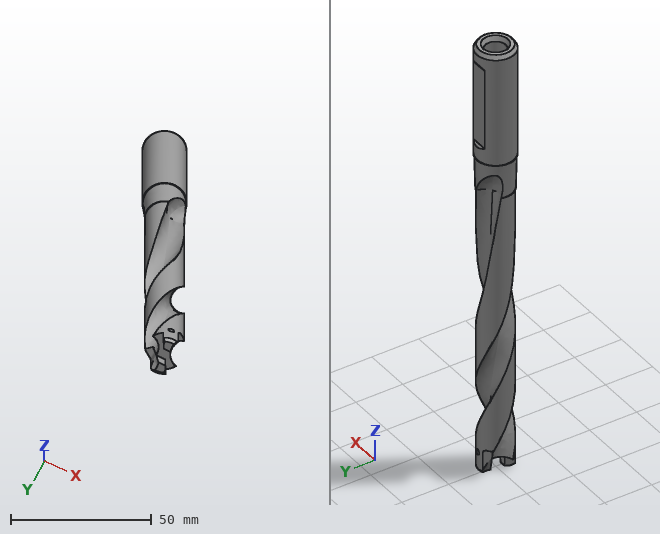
import cadquery as cq
import math

TOTAL_LENGTH = 184.6
EXTRA = 1.8

SHANK_RADIUS = 8.0
SHANK_BOTTOM = 136.8
SHANK_CHAMFER_RADIAL = 1.1
SHANK_CHAMFER_AXIAL = 1.7

FLAT_OFFSET = 7.0
FLAT_BOTTOM = 143.6
FLAT_TOP = 177.8

NECK_TOP_RADIUS = 15.3 / 2
NECK_BOTTOM_RADIUS = 14.5 / 2
STEM_TOP = 122.0
STEM_RADIUS = 14.2 / 2

SOCKET_RADIUS = 4.2
SOCKET_DEPTH = 22.2
SOCKET_CONE_ANGLE = 118.0
COUNTERSINK_RADIUS = 10.5 / 2
COUNTERSINK_DEPTH = 2.0
COOLANT_RADIUS = 0.83
COOLANT_OUTLET_Z = 13.5

FLUTE_RADIUS = 5.7
WEB_RADIUS = 2.2
FLUTE_START_Z = -3.7
FULL_TWIST_TOP = 59.0
EASED_TWIST_TOP = 88.6
FULL_TWIST_RATE = 3.738
SLOW_TWIST_RATE = 1.246
FULL_TWIST_TOP_ANGLE = -176.5
RUNOUT_TOP = 132.5
RUNOUT_TWIST_RATE = 2.438
RUNOUT_POWER = 1.5
STEM_SECTION_COUNT = 26
RUNOUT_SECTION_COUNT = 3

SEAT_HALF_WIDTH = 2.8
SEAT_DEPTH = 5.4
PRONG_HALF_WIDTH = 3.7
PRONG_INNER_HALF_WIDTH = 1.7
PRONG_CORNER = 1.1
PRONG_EDGE = 1.1
GULLET_OFFSET = 2.0
GULLET_TOP = 11.3
GULLET_CORNER = 1.8

PIN_RADIUS = 1.1
PIN_X = -1.0
PIN_Z = 8.5
PIN_INNER_END = 2.8

HALF_TURNS = (0, 180)


def box_between(x0, x1, y0, y1, z0, z1):
    return cq.Workplane("XY").box(x1 - x0, y1 - y0, z1 - z0, centered=False).translate((x0, y0, z0))


def half_turn_copy(shape, angle):
    return shape.rotate((0, 0, 0), (0, 0, 1), angle)


def turned_blank():
    outline = [
        (0, 0),
        (STEM_RADIUS - PRONG_EDGE, 0),
        (STEM_RADIUS, PRONG_EDGE),
        (STEM_RADIUS, STEM_TOP),
        (NECK_BOTTOM_RADIUS, STEM_TOP),
        (NECK_TOP_RADIUS, SHANK_BOTTOM),
        (SHANK_RADIUS, SHANK_BOTTOM),
        (SHANK_RADIUS, TOTAL_LENGTH - SHANK_CHAMFER_AXIAL),
        (SHANK_RADIUS - SHANK_CHAMFER_RADIAL, TOTAL_LENGTH),
        (0, TOTAL_LENGTH),
    ]
    return cq.Workplane("XZ").polyline(outline).close().revolve(360, (0, 0, 0), (0, 1, 0))


def clamping_flat():
    outer = SHANK_RADIUS + EXTRA
    rise = outer - FLAT_OFFSET
    outline = [
        (FLAT_OFFSET, FLAT_BOTTOM),
        (outer, FLAT_BOTTOM - rise),
        (outer, FLAT_TOP + rise),
        (FLAT_OFFSET, FLAT_TOP),
    ]
    return cq.Workplane("YZ").polyline(outline).close().extrude(SHANK_RADIUS, both=True)


def socket_and_coolant():
    cone_top = TOTAL_LENGTH - SOCKET_DEPTH
    cone_slope = math.tan(math.radians(SOCKET_CONE_ANGLE / 2))
    cone_end = cone_top - (SOCKET_RADIUS - COOLANT_RADIUS) / cone_slope
    outline = [
        (0, COOLANT_OUTLET_Z),
        (COOLANT_RADIUS, COOLANT_OUTLET_Z),
        (COOLANT_RADIUS, cone_end),
        (SOCKET_RADIUS, cone_top),
        (SOCKET_RADIUS, TOTAL_LENGTH - COUNTERSINK_DEPTH),
        (COUNTERSINK_RADIUS, TOTAL_LENGTH),
        (0, TOTAL_LENGTH),
    ]
    channel = cq.Workplane("XZ").polyline(outline).close().revolve(360, (0, 0, 0), (0, 1, 0))
    outlets = (
        cq.Workplane("YZ")
        .center(0, COOLANT_OUTLET_Z)
        .circle(COOLANT_RADIUS)
        .extrude(STEM_RADIUS, both=True)
    )
    return channel.union(outlets)


def flute_direction(z):
    """Direction of the first flute in degrees from +X, as the integral of the twist rate over height."""
    if z <= FULL_TWIST_TOP:
        return FULL_TWIST_TOP_ANGLE + FULL_TWIST_RATE * (z - FULL_TWIST_TOP)
    ease_length = EASED_TWIST_TOP - FULL_TWIST_TOP
    eased = min(z, EASED_TWIST_TOP) - FULL_TWIST_TOP
    rate_drop = (FULL_TWIST_RATE - SLOW_TWIST_RATE) / ease_length
    angle = FULL_TWIST_TOP_ANGLE + FULL_TWIST_RATE * eased - rate_drop * eased**2 / 2
    slow_height = min(z, STEM_TOP) - EASED_TWIST_TOP
    angle += SLOW_TWIST_RATE * max(slow_height, 0)
    return angle + RUNOUT_TWIST_RATE * max(z - STEM_TOP, 0)


def flute_section(z, floor):
    """U-shaped flute profile at height z whose lowest line lies at the radius `floor`."""
    centre = floor + FLUTE_RADIUS
    outer = SHANK_RADIUS + FLUTE_RADIUS + EXTRA
    slant = FLUTE_RADIUS * math.sqrt(0.5)
    profile = (
        cq.Workplane("XY")
        .moveTo(outer, -FLUTE_RADIUS)
        .lineTo(centre, -FLUTE_RADIUS)
        .threePointArc((centre - slant, -slant), (floor, 0))
        .threePointArc((centre - slant, slant), (centre, FLUTE_RADIUS))
        .lineTo(outer, FLUTE_RADIUS)
        .close()
    )
    wire = profile.val().translate(cq.Vector(0, 0, z))
    return wire.rotate(cq.Vector(0, 0, 0), cq.Vector(0, 0, 1), flute_direction(z))


def flute():
    stem_step = (STEM_TOP - FLUTE_START_Z) / STEM_SECTION_COUNT
    stem_heights = [FLUTE_START_Z + i * stem_step for i in range(STEM_SECTION_COUNT + 1)]
    stem_part = cq.Solid.makeLoft([flute_section(z, WEB_RADIUS) for z in stem_heights])

    runout_sections = []
    for i in range(RUNOUT_SECTION_COUNT + 1):
        share = i / RUNOUT_SECTION_COUNT
        z = STEM_TOP + share * (RUNOUT_TOP - STEM_TOP)
        floor = WEB_RADIUS + share**RUNOUT_POWER * (NECK_TOP_RADIUS - WEB_RADIUS)
        runout_sections.append(flute_section(z, floor))
    runout_part = cq.Solid.makeLoft(runout_sections)
    return cq.Workplane(stem_part), cq.Workplane(runout_part)


def insert_seat():
    reach = STEM_RADIUS + EXTRA
    return box_between(-reach, reach, -SEAT_HALF_WIDTH, SEAT_HALF_WIDTH, -EXTRA, SEAT_DEPTH)


def prong_side_cut():
    """Wedge that trims the -X side of the -Y prong, leaving a slanted side with a chamfered foot."""
    reach = STEM_RADIUS + EXTRA
    outer_y = -math.sqrt(STEM_RADIUS**2 - PRONG_HALF_WIDTH**2)
    slope = (PRONG_HALF_WIDTH - PRONG_INNER_HALF_WIDTH) / (-SEAT_HALF_WIDTH - outer_y)
    side_x = [-PRONG_INNER_HALF_WIDTH + slope * (y + SEAT_HALF_WIDTH) for y in (-reach, 0)]
    side = (
        cq.Workplane("XY")
        .polyline([(-reach, -reach), (side_x[0], -reach), (side_x[1], 0), (-reach, 0)])
        .close()
        .extrude(SEAT_DEPTH)
    )
    corner_x = -PRONG_HALF_WIDTH
    foot = (
        cq.Workplane("XZ")
        .polyline([(corner_x, 0), (corner_x + PRONG_CORNER, 0), (corner_x, PRONG_CORNER)])
        .close()
        .extrude(reach)
    )
    return side.union(foot)


def gullet():
    reach = STEM_RADIUS + EXTRA
    block = box_between(GULLET_OFFSET, reach, -reach, -SEAT_HALF_WIDTH, -EXTRA, GULLET_TOP)
    return block.edges("|Y and <X and >Z").fillet(GULLET_CORNER)


def pin_blank():
    """Cylinder along Y on the -Y side, reaching past the stem surface."""
    return (
        cq.Workplane("XZ", origin=(PIN_X, -PIN_INNER_END, PIN_Z))
        .circle(PIN_RADIUS)
        .extrude(STEM_RADIUS - PIN_INNER_END + EXTRA)
    )


def locking_pin(angle):
    """Pin ending flush with the round stem surface."""
    stem = cq.Workplane("XY").circle(STEM_RADIUS).extrude(STEM_TOP)
    return half_turn_copy(pin_blank().intersect(stem), angle)


def drill_body():
    body = turned_blank().cut(clamping_flat()).cut(socket_and_coolant()).cut(insert_seat())
    flute_parts = flute()
    for angle in HALF_TURNS:
        for cutter in (*flute_parts, prong_side_cut(), gullet(), pin_blank()):
            body = body.cut(half_turn_copy(cutter, angle))
    return body


body = drill_body()
pins = [locking_pin(angle) for angle in HALF_TURNS]

result = cq.Compound.makeCompound([*body.solids().vals(), *(pin.val() for pin in pins)])